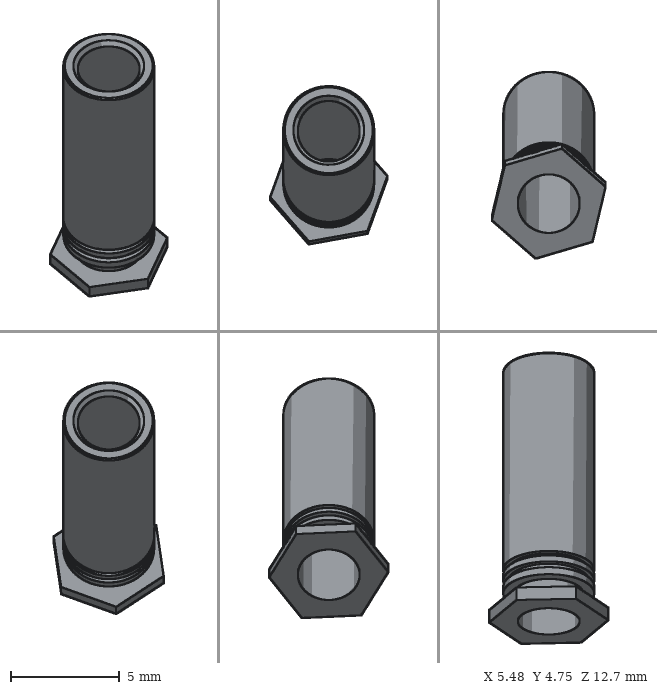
import cadquery as cq
import math

head_across_flats = 4.75
head_height = 0.64

total_height = 12.7
neck_top = 1.41
lower_ring_top = 1.77
lower_groove_top = 2.06
upper_ring_top = 2.36
upper_groove_top = 2.59

body_diameter = 4.19
groove_diameter = 3.68
neck_diameter = 3.18
bore_diameter = 2.85
bore_mouth_diameter = 3.25

rim_chamfer = 0.08
mouth_chamfer = (bore_mouth_diameter - bore_diameter) / 2


def cylinder(diameter, bottom, top):
    """Upright cylinder on the Z axis between two levels."""
    return cq.Workplane("XY").workplane(offset=bottom).circle(diameter / 2).extrude(top - bottom)


head_across_corners = head_across_flats / math.cos(math.pi / 6)
result = cq.Workplane("XY").polygon(6, head_across_corners).extrude(head_height)

stacked_sections = [
    (neck_diameter, neck_top),
    (body_diameter, lower_ring_top),
    (groove_diameter, lower_groove_top),
    (body_diameter, upper_ring_top),
    (groove_diameter, upper_groove_top),
]
section_bottom = head_height
for diameter, section_top in stacked_sections:
    result = result.union(cylinder(diameter, section_bottom, section_top))
    section_bottom = section_top

body = cylinder(body_diameter, upper_groove_top, total_height).faces(">Z").chamfer(rim_chamfer)
result = result.union(body)

result = result.cut(cylinder(bore_diameter, 0, total_height))
mouth = (
    cq.Workplane("XY")
    .workplane(offset=total_height)
    .circle(bore_mouth_diameter / 2)
    .workplane(offset=-mouth_chamfer)
    .circle(bore_diameter / 2)
    .loft(ruled=True)
)
result = result.cut(mouth)